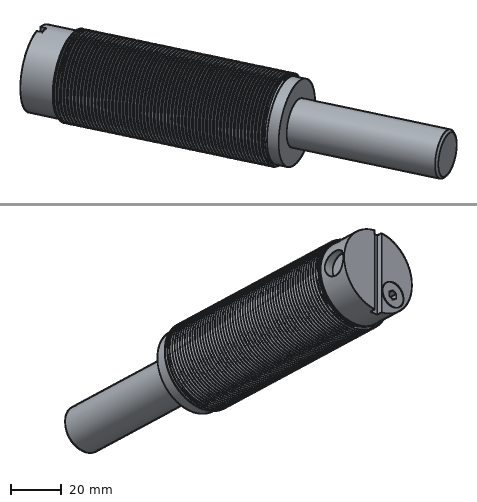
import cadquery as cq
import math

TOTAL_LENGTH = 176.5
BODY_LENGTH = 111.5
ROD_CHAMFER = 1.0

BODY_DIAMETER = 35.7
ROD_DIAMETER = 20.0

THREAD_DIAMETER = 38.0
THREAD_CORE_DIAMETER = 35.84
THREAD_PITCH = 1.5
THREAD_TURNS = 61.5
THREAD_START = 14.0
THREAD_END = 106.5
THREAD_ROOT_WIDTH = 1.0
THREAD_OVERLAP = 0.05

SLOT_WIDTH = 3.6
SLOT_DEPTH = 2.5

SCREW_Y = -7.9
SCREW_Z = -7.7
SCREW_DIAMETER = 11.0
SCREW_RECESS = 0.2
SOCKET_SIDES = 6
SOCKET_ACROSS_FLATS = 3.5
SOCKET_DEPTH = 4.0

SIDE_HOLE_X = 6.1
SIDE_HOLE_DIAMETER = 11.0
SIDE_HOLE_FLOOR_Y = 13.7


def cylinder(start, end, diameter):
    """Solid cylinder on the X axis between two X positions."""
    return cq.Workplane("YZ", origin=(start, 0, 0)).circle(diameter / 2).extrude(end - start)


def make_body():
    head = cylinder(0, THREAD_START, BODY_DIAMETER)
    core = cylinder(THREAD_START, THREAD_END, THREAD_CORE_DIAMETER)
    collar = cylinder(THREAD_END, BODY_LENGTH, BODY_DIAMETER)
    rod = cylinder(BODY_LENGTH, TOTAL_LENGTH, ROD_DIAMETER).faces(">X").chamfer(ROD_CHAMFER)
    return head.union(core).union(collar).union(rod)


def make_thread():
    """Helical ridge with a sharp V section, made along Z then laid along X and trimmed at its ends."""
    root_radius = THREAD_CORE_DIAMETER / 2 - THREAD_OVERLAP
    crest_radius = THREAD_DIAMETER / 2
    half_root = THREAD_ROOT_WIDTH / 2
    helix = cq.Wire.makeHelix(THREAD_PITCH, THREAD_PITCH * THREAD_TURNS, root_radius)
    section = cq.Workplane("XZ").polyline([
        (root_radius, -half_root),
        (crest_radius, 0),
        (root_radius, half_root),
    ]).close()
    ridge = section.sweep(cq.Workplane(helix), isFrenet=True)
    ridge = ridge.rotate((0, 0, 0), (0, 1, 0), 90)
    ridge = ridge.translate((THREAD_START, 0, 0))
    return ridge.intersect(cylinder(THREAD_START, THREAD_END, 2 * THREAD_DIAMETER))


def make_slot():
    """Cutter centred on the head face, so half of its X length lies in the head."""
    return cq.Workplane("XY").box(2 * SLOT_DEPTH, SLOT_WIDTH, 2 * BODY_DIAMETER)


def make_screw_recess():
    """Shallow round recess down to the screw head, plus its socket."""
    face = cq.Workplane("YZ").center(SCREW_Y, SCREW_Z)
    recess = face.circle(SCREW_DIAMETER / 2).extrude(SCREW_RECESS)
    across_corners = SOCKET_ACROSS_FLATS / math.cos(math.pi / SOCKET_SIDES)
    corners_up = face.transformed(rotate=(0, 0, 90))
    socket = corners_up.polygon(SOCKET_SIDES, across_corners).extrude(SOCKET_DEPTH)
    return recess.union(socket)


def make_side_hole():
    floor = cq.Workplane("XZ", origin=(SIDE_HOLE_X, SIDE_HOLE_FLOOR_Y, 0))
    return floor.circle(SIDE_HOLE_DIAMETER / 2).extrude(-BODY_DIAMETER / 2)


result = (
    make_body()
    .cut(make_slot())
    .cut(make_screw_recess())
    .cut(make_side_hole())
    .union(make_thread())
)